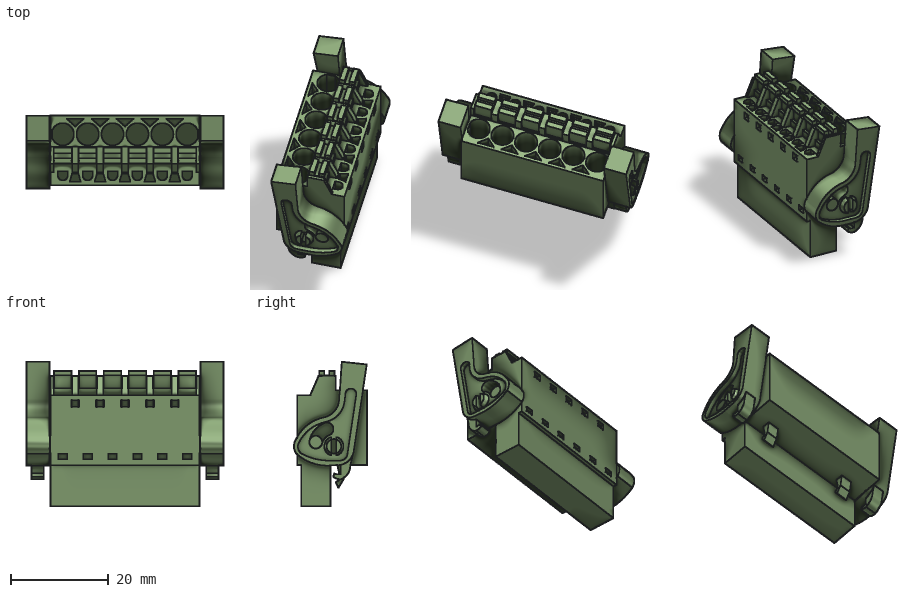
import cadquery as cq
import math


POLES = 6
PITCH = 5.08
HOUSING_LENGTH = POLES * PITCH
HOUSING_END = HOUSING_LENGTH / 2
pole_centres = [(i - (POLES - 1) / 2) * PITCH for i in range(POLES)]
gap_centres = [(i - (POLES - 2) / 2) * PITCH for i in range(POLES - 1)]

HOUSING_DEPTH = 14.28
BODY_BOTTOM = 8.4
FRONT_TOP = 22.7
SHELF_TOP = 23.7
SILL_TOP = 24.08
RIB_TOP = 26.6
PLUG_FRONT = 0.8
PLUG_BACK = 6.85
RAMP_FOOT = 2.65
RAMP_HEAD = 4.35
RIB_BACK = 7.88
SLOT_WIDTH = 3.77

ROUND_HOLE_RADIUS = 2.28
ROUND_HOLE_Y = 10.42
ROUND_HOLE_DEPTH = 10.0
END_WALL = 0.44
TRIANGLE_BASE_Y = 13.6
TRIANGLE_TIP_Y = 12.0
TRIANGLE_HALF_WIDTH = 1.75
TRIANGLE_DEPTH = 3.0
WIRE_HOLE_WIDTH = 2.04
WIRE_HOLE_BACK = 2.87
WIRE_HOLE_FRONT = 1.0
WIRE_HOLE_DEPTH = 6.0
WEDGE_BACK = 2.35
WEDGE_FRONT = 0.76
WEDGE_BACK_HALF_WIDTH = 0.66
WEDGE_FRONT_HALF_WIDTH = 1.12
WEDGE_DEPTH = 5.0
UPPER_WINDOW_WIDTH = 1.72
UPPER_WINDOW_BOTTOM = 20.28
UPPER_WINDOW_TOP = 21.66
LOWER_WINDOW_WIDTH = 1.77
LOWER_WINDOW_BOTTOM = 9.62
LOWER_WINDOW_TOP = 10.7
LOWER_WINDOW_DEPTH = 1.5

HOOK_WIDTH = 2.56
HOOK_CENTRE = 2 * PITCH
HOOK_ROOT_FRONT = (8.2, BODY_BOTTOM)
HOOK_ROOT_BACK = (9.9, BODY_BOTTOM)
HOOK_ARM_BEND = (8.6, 6.55)
HOOK_BARB_INSIDE = (8.65, 5.5)
HOOK_BARB_FRONT = (7.86, 4.88)
HOOK_BARB_TIP = (8.4, 3.75)
HOOK_BARB_BACK = (9.5, 5.5)

BUTTON_WIDTH = 3.6
BUTTON_FRONT = 4.46
BUTTON_BACK = 7.62
BUTTON_TOP = 27.66
RIDGE_BOTTOM = 26.74
RIDGE_DEPTH = 1.1
RIDGE_OVERHANG = 0.6

LEVER_OUTER = 20.15
LEVER_INNER = 15.37
RECESS_DEPTH = 1.05
RECESS_FLOOR = LEVER_OUTER - RECESS_DEPTH
NOSE_WIDTH = 2.56

HANDLE_TOP_BACK = (14.22, 28.97)
HANDLE_TOP_FRONT = (9.08, 29.52)
NECK_TOP = (8.57, 21.76)
NECK_END = (5.73, 18.2)
CAM_UPPER_MID = (2.5, 16.9)
CAM_UPPER_END = (0.02, 14.15)
CAM_NOSE_TOP = (-0.4, 13.45)
CAM_NOSE_FRONT = (-0.66, 11.95)
CAM_NOSE_BOTTOM = (-0.17, 10.72)
CAM_LOWER_MID = (2.7, 8.95)
CAM_LOWER_END = (6.0, 8.3)
HEEL_FRONT = (8.5, 8.4)
HEEL_MID = (10.5, 9.3)
HEEL_BACK = (11.5, 11.0)

RECESS_BOTTOM = 9.34
RECESS_TOP_BACK = (12.09, 22.95)
RECESS_TOP = (10.95, 24.02)
RECESS_TOP_FRONT = (9.86, 23.1)
RECESS_NECK_TOP = (9.67, 21.45)
RECESS_NECK_MID = (8.75, 19.1)
RECESS_NECK_END = (5.7, 17.2)
RECESS_UPPER_MID = (2.6, 15.75)
RECESS_UPPER_END = (0.33, 12.95)
RECESS_NOSE_FRONT = (0.2, 11.7)
RECESS_NOSE_BOTTOM = (1.0, 10.7)
RECESS_LOWER_MID = (3.2, 9.8)
RECESS_LOWER_END = (5.8, RECESS_BOTTOM)
RECESS_HEEL_FRONT = (8.9, RECESS_BOTTOM)
RECESS_HEEL_MID = (9.8, 9.75)
RECESS_HEEL_BACK = (10.25, 10.6)

NOSE_NOTCH_Z = 6.55
NOSE_NOTCH_Y = 8.85
NOSE_ROOT_BACK = (11.35, 10.5)
NOSE_BACK = (10.85, 8.4)
NOSE_CURVE_MID = (10.08, 6.28)
NOSE_BOTTOM = (8.9, 5.52)
NOSE_TOE_MID = (8.1, 5.6)
NOSE_TOE = (7.35, 6.05)
NOSE_TOE_TOP = (7.55, 6.7)
NOSE_NOTCH_FRONT = (8.0, NOSE_NOTCH_Z)
NOSE_NOTCH = (NOSE_NOTCH_Y, NOSE_NOTCH_Z)
NOSE_ROOT_FRONT = (NOSE_NOTCH_Y, 8.9)

PIVOT_Y = 7.49
PIVOT_Z = 12.25
PIVOT_RADIUS = 1.49
PIVOT_HEAD_RADIUS = 1.95
PIVOT_HEAD_HEIGHT = 1.0
PIVOT_SLOT_WIDTH = 1.05
STOP_ORBIT = 3.79
STOP_RADIUS = 1.3
STOP_SLOT_RADIUS = 1.33
STOP_ANGLE = 167.0
STOP_SLOT_END_ANGLE = 112.0


def box(x_range, y_range, z_range):
    size = [high - low for low, high in (x_range, y_range, z_range)]
    corner = (x_range[0], y_range[0], z_range[0])
    return cq.Workplane("XY").box(*size, centered=False).translate(corner)


def box_at(x_centre, width, y_range, z_range):
    return box((x_centre - width / 2, x_centre + width / 2), y_range, z_range)


def side_plane(x):
    """Sketch plane across the row at x: local x is Y, local y is Z, and it extrudes towards +X."""
    return cq.Workplane("YZ", origin=(x, 0, 0))


def orbit_point(radius, degrees):
    angle = math.radians(degrees)
    return (PIVOT_Y + radius * math.cos(angle), PIVOT_Z + radius * math.sin(angle))


def housing_block():
    return (
        side_plane(-HOUSING_END)
        .moveTo(PLUG_FRONT, 0)
        .lineTo(PLUG_BACK, 0)
        .lineTo(PLUG_BACK, BODY_BOTTOM)
        .lineTo(HOUSING_DEPTH, BODY_BOTTOM)
        .lineTo(HOUSING_DEPTH, SHELF_TOP)
        .lineTo(RIB_BACK, SHELF_TOP)
        .lineTo(RIB_BACK, RIB_TOP)
        .lineTo(RAMP_HEAD, RIB_TOP)
        .lineTo(RAMP_FOOT, FRONT_TOP)
        .lineTo(0, FRONT_TOP)
        .lineTo(0, BODY_BOTTOM)
        .lineTo(PLUG_FRONT, BODY_BOTTOM)
        .close()
        .extrude(HOUSING_LENGTH)
    )


def button_slot(x):
    """Gap between two ribs: it drops to the sill under the button and to the front top ahead of it."""
    over_sill = box_at(x, SLOT_WIDTH, (RAMP_HEAD, RIB_BACK), (SILL_TOP, RIB_TOP))
    ahead = box_at(x, SLOT_WIDTH, (0, RAMP_HEAD), (FRONT_TOP, RIB_TOP))
    return over_sill.union(ahead)


def round_hole(x):
    """Round hole in the shelf, cut flat where it would break into an end wall."""
    bottom = SHELF_TOP - ROUND_HOLE_DEPTH
    hole = (
        cq.Workplane("XY", origin=(x, ROUND_HOLE_Y, bottom))
        .circle(ROUND_HOLE_RADIUS)
        .extrude(ROUND_HOLE_DEPTH)
    )
    inner_end = HOUSING_END - END_WALL
    inside = box((-inner_end, inner_end), (0, HOUSING_DEPTH), (bottom, SHELF_TOP))
    return hole.intersect(inside)


def triangle_pocket(x):
    return (
        cq.Workplane("XY", origin=(x, 0, SHELF_TOP))
        .moveTo(-TRIANGLE_HALF_WIDTH, TRIANGLE_BASE_Y)
        .lineTo(TRIANGLE_HALF_WIDTH, TRIANGLE_BASE_Y)
        .lineTo(0, TRIANGLE_TIP_Y)
        .close()
        .extrude(-TRIANGLE_DEPTH)
    )


def wire_hole(x):
    """D-shaped hole in the front top, round towards the front."""
    radius = WIRE_HOLE_WIDTH / 2
    arc_y = WIRE_HOLE_FRONT + radius
    return (
        cq.Workplane("XY", origin=(x, 0, FRONT_TOP))
        .moveTo(-radius, WIRE_HOLE_BACK)
        .lineTo(radius, WIRE_HOLE_BACK)
        .lineTo(radius, arc_y)
        .threePointArc((0, WIRE_HOLE_FRONT), (-radius, arc_y))
        .close()
        .extrude(-WIRE_HOLE_DEPTH)
    )


def wedge_pocket(x):
    """Wedge-shaped pocket between two poles, with a window to the front face."""
    pocket = (
        cq.Workplane("XY", origin=(x, 0, FRONT_TOP))
        .moveTo(-WEDGE_FRONT_HALF_WIDTH, WEDGE_FRONT)
        .lineTo(WEDGE_FRONT_HALF_WIDTH, WEDGE_FRONT)
        .lineTo(WEDGE_BACK_HALF_WIDTH, WEDGE_BACK)
        .lineTo(-WEDGE_BACK_HALF_WIDTH, WEDGE_BACK)
        .close()
        .extrude(-WEDGE_DEPTH)
    )
    window = box_at(x, UPPER_WINDOW_WIDTH, (0, WEDGE_FRONT), (UPPER_WINDOW_BOTTOM, UPPER_WINDOW_TOP))
    return pocket.union(window)


def lower_window(x):
    heights = (LOWER_WINDOW_BOTTOM, LOWER_WINDOW_TOP)
    return box_at(x, LOWER_WINDOW_WIDTH, (0, LOWER_WINDOW_DEPTH), heights)


def latch_hook(x):
    """Barbed arm hanging from the underside of the housing behind the plug."""
    return (
        side_plane(x - HOOK_WIDTH / 2)
        .moveTo(*HOOK_ROOT_FRONT)
        .lineTo(*HOOK_ARM_BEND)
        .lineTo(*HOOK_BARB_INSIDE)
        .lineTo(*HOOK_BARB_FRONT)
        .lineTo(*HOOK_BARB_TIP)
        .lineTo(*HOOK_BARB_BACK)
        .lineTo(*HOOK_ROOT_BACK)
        .close()
        .extrude(HOOK_WIDTH)
    )


def pivot_pin():
    """Split snap pin on the -X end with a tapered head standing on the floor of the lever recess."""
    head_end = RECESS_FLOOR + PIVOT_HEAD_HEIGHT
    half_outline = [
        (HOUSING_END, 0),
        (HOUSING_END, PIVOT_RADIUS),
        (RECESS_FLOOR, PIVOT_RADIUS),
        (RECESS_FLOOR, PIVOT_HEAD_RADIUS),
        (head_end, PIVOT_RADIUS),
        (head_end, 0),
    ]
    pin = (
        cq.Workplane("XY")
        .polyline([(-x, radius) for x, radius in half_outline])
        .close()
        .revolve(360, (0, 0, 0), (1, 0, 0))
        .translate((0, PIVOT_Y, PIVOT_Z))
    )
    slot = box(
        (-head_end, -HOUSING_END),
        (PIVOT_Y - PIVOT_SLOT_WIDTH / 2, PIVOT_Y + PIVOT_SLOT_WIDTH / 2),
        (PIVOT_Z - PIVOT_HEAD_RADIUS, PIVOT_Z + PIVOT_HEAD_RADIUS),
    )
    return pin.cut(slot)


def stop_pin():
    """Round pin on the -X end that limits the swing of the lever, flush with its recess floor."""
    y, z = orbit_point(STOP_ORBIT, STOP_ANGLE)
    return (
        side_plane(-RECESS_FLOOR)
        .center(y, z)
        .circle(STOP_RADIUS)
        .extrude(RECESS_FLOOR - HOUSING_END)
    )


def make_housing():
    body = housing_block()
    for x in pole_centres:
        body = body.cut(button_slot(x))
        body = body.cut(round_hole(x))
        body = body.cut(wire_hole(x))
        body = body.cut(lower_window(x))
    for x in gap_centres:
        body = body.cut(triangle_pocket(x))
        body = body.cut(wedge_pocket(x))
    for x in (-HOOK_CENTRE, HOOK_CENTRE):
        body = body.union(latch_hook(x))
    for pin in (pivot_pin(), stop_pin()):
        body = body.union(pin)
        body = body.union(pin.mirror("YZ"))
    return body


def make_button(x):
    """Release button: a stem on the sill carrying two ridges, the front one overhanging the stem."""
    stem = box_at(x, BUTTON_WIDTH, (BUTTON_FRONT + RIDGE_OVERHANG, BUTTON_BACK), (SILL_TOP, RIDGE_BOTTOM))
    ridge_heights = (RIDGE_BOTTOM, BUTTON_TOP)
    front_ridge = box_at(x, BUTTON_WIDTH, (BUTTON_FRONT, BUTTON_FRONT + RIDGE_DEPTH), ridge_heights)
    back_ridge = box_at(x, BUTTON_WIDTH, (BUTTON_BACK - RIDGE_DEPTH, BUTTON_BACK), ridge_heights)
    return stem.union(front_ridge).union(back_ridge)


def lever_plate():
    """Tapered handle above, swelling below into a cam around the pivot."""
    return (
        side_plane(-LEVER_OUTER)
        .moveTo(*HANDLE_TOP_BACK)
        .lineTo(*HANDLE_TOP_FRONT)
        .lineTo(*NECK_TOP)
        .tangentArcPoint(NECK_END, relative=False)
        .threePointArc(CAM_UPPER_MID, CAM_UPPER_END)
        .lineTo(*CAM_NOSE_TOP)
        .threePointArc(CAM_NOSE_FRONT, CAM_NOSE_BOTTOM)
        .threePointArc(CAM_LOWER_MID, CAM_LOWER_END)
        .lineTo(*HEEL_FRONT)
        .threePointArc(HEEL_MID, HEEL_BACK)
        .close()
        .extrude(LEVER_OUTER - LEVER_INNER)
    )


def lever_recess():
    """Shallow recess in the outer face, following the outline of the lever."""
    return (
        side_plane(-LEVER_OUTER)
        .moveTo(*RECESS_TOP_BACK)
        .threePointArc(RECESS_TOP, RECESS_TOP_FRONT)
        .lineTo(*RECESS_NECK_TOP)
        .threePointArc(RECESS_NECK_MID, RECESS_NECK_END)
        .threePointArc(RECESS_UPPER_MID, RECESS_UPPER_END)
        .threePointArc(RECESS_NOSE_FRONT, RECESS_NOSE_BOTTOM)
        .threePointArc(RECESS_LOWER_MID, RECESS_LOWER_END)
        .lineTo(*RECESS_HEEL_FRONT)
        .threePointArc(RECESS_HEEL_MID, RECESS_HEEL_BACK)
        .close()
        .extrude(RECESS_DEPTH)
    )


def stop_slot():
    """Curved slot around the pivot that lets the stop pin travel."""
    mid_angle = (STOP_ANGLE + STOP_SLOT_END_ANGLE) / 2
    inner = STOP_ORBIT - STOP_SLOT_RADIUS
    outer = STOP_ORBIT + STOP_SLOT_RADIUS
    depth = RECESS_FLOOR - LEVER_INNER
    slot = (
        side_plane(-RECESS_FLOOR)
        .moveTo(*orbit_point(inner, STOP_ANGLE))
        .threePointArc(orbit_point(inner, mid_angle), orbit_point(inner, STOP_SLOT_END_ANGLE))
        .lineTo(*orbit_point(outer, STOP_SLOT_END_ANGLE))
        .threePointArc(orbit_point(outer, mid_angle), orbit_point(outer, STOP_ANGLE))
        .close()
        .extrude(depth)
    )
    ends = (
        side_plane(-RECESS_FLOOR)
        .pushPoints([orbit_point(STOP_ORBIT, angle) for angle in (STOP_ANGLE, STOP_SLOT_END_ANGLE)])
        .circle(STOP_SLOT_RADIUS)
        .extrude(depth)
    )
    return slot.union(ends)


def pivot_hole():
    return (
        side_plane(-RECESS_FLOOR)
        .center(PIVOT_Y, PIVOT_Z)
        .circle(PIVOT_RADIUS)
        .extrude(RECESS_FLOOR - LEVER_INNER)
    )


def lever_nose():
    """Narrow hook below the cam, level with the recess floor on its outer side."""
    return (
        side_plane(-RECESS_FLOOR)
        .moveTo(*NOSE_ROOT_BACK)
        .lineTo(*NOSE_BACK)
        .threePointArc(NOSE_CURVE_MID, NOSE_BOTTOM)
        .threePointArc(NOSE_TOE_MID, NOSE_TOE)
        .lineTo(*NOSE_TOE_TOP)
        .lineTo(*NOSE_NOTCH_FRONT)
        .lineTo(*NOSE_NOTCH)
        .lineTo(*NOSE_ROOT_FRONT)
        .close()
        .extrude(NOSE_WIDTH)
    )


def make_lever():
    """Lever of the -X end."""
    body = lever_plate().cut(lever_recess()).union(lever_nose())
    return body.cut(stop_slot()).cut(pivot_hole())


housing = make_housing()
buttons = [make_button(x) for x in pole_centres]
left_lever = make_lever()
right_lever = left_lever.mirror("YZ")

result = cq.Compound.makeCompound(
    [
        housing.val(),
        *[button.val() for button in buttons],
        left_lever.val(),
        right_lever.val(),
    ]
)